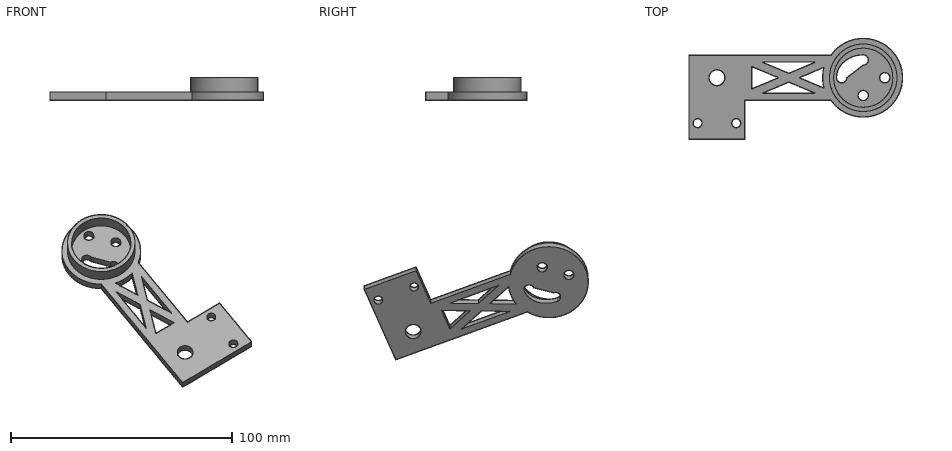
import cadquery as cq

LENGTH = 96.45
DEPTH = 45.6
HEIGHT = 10.4
THICKNESS = 3.9

DISC_DIAMETER = 35.6
DISC_RADIUS = DISC_DIAMETER / 2
RING_OUTER_DIAMETER = 30.5
RING_INNER_DIAMETER = 26.7

ARM_WIDTH = 20.35
PAD_WIDTH = 25.3
PAD_LEFT = DISC_RADIUS - LENGTH
PAD_RIGHT = PAD_LEFT + PAD_WIDTH
PAD_CENTER = (PAD_LEFT + PAD_RIGHT) / 2
PAD_BOTTOM = DISC_RADIUS - DEPTH

PIVOT_DIAMETER = 7.0
MOUNT_DIAMETER = 4.0
MOUNT_SPACING = 17.5
MOUNT_EDGE_DISTANCE = 7.3

DISC_HOLE_DIAMETER = 4.5
DISC_HOLE_X = 9.7
DISC_HOLE_Y = 8.0

WINDOW_MARGIN = 3.2
WINDOW_HALF_HEIGHT = ARM_WIDTH / 2 - WINDOW_MARGIN
WINDOW_LEFT = PAD_RIGHT + WINDOW_MARGIN
BRACE_CENTER = -33.6
BRACE_HALF_RISE = 2.0
WINDOW_END_DIAMETER = 36.7


def cylinder(diameter, height, x=0, y=0):
    return cq.Workplane("XY").center(x, y).circle(diameter / 2).extrude(height)


def plate():
    arm_length = -PAD_LEFT
    arm = cq.Workplane("XY").box(arm_length, ARM_WIDTH, THICKNESS, centered=(False, True, False))
    arm = arm.translate((PAD_LEFT, 0, 0))
    pad = cq.Workplane("XY").box(PAD_WIDTH, -PAD_BOTTOM, THICKNESS, centered=False)
    pad = pad.translate((PAD_LEFT, PAD_BOTTOM, 0))
    return arm.union(pad).union(cylinder(DISC_DIAMETER, THICKNESS))


def triangle(points):
    return cq.Workplane("XY").polyline(points).close().extrude(THICKNESS)


def brace_windows():
    """Four triangular openings left between the two crossed bars."""
    slope = WINDOW_HALF_HEIGHT / (BRACE_CENTER - WINDOW_LEFT)
    apex_offset = BRACE_HALF_RISE / slope
    half_base = (WINDOW_HALF_HEIGHT - BRACE_HALF_RISE) / slope
    windows = cq.Workplane("XY")
    for side in (1, -1):
        edge_y = side * WINDOW_HALF_HEIGHT
        windows = windows.add(triangle([
            (BRACE_CENTER - half_base, edge_y),
            (BRACE_CENTER + half_base, edge_y),
            (BRACE_CENTER, side * BRACE_HALF_RISE),
        ]))
        end_x = BRACE_CENTER + side * (BRACE_CENTER - WINDOW_LEFT)
        end_y = WINDOW_HALF_HEIGHT - BRACE_HALF_RISE
        opening = triangle([
            (BRACE_CENTER + side * apex_offset, 0),
            (end_x, end_y),
            (end_x, -end_y),
        ])
        windows = windows.add(opening.cut(cylinder(WINDOW_END_DIAMETER, THICKNESS)))
    return windows.combine()


def curved_slot():
    """Slot with round ends, an elliptical outer side and a straight inner side."""
    end_radius = DISC_HOLE_DIAMETER / 2
    outer_x = DISC_HOLE_X + end_radius
    outer_y = DISC_HOLE_Y + end_radius
    return (
        cq.Workplane("XY")
        .moveTo(0, outer_y)
        .ellipseArc(outer_x, outer_y, 90, 180, startAtCurrent=True)
        .threePointArc((-DISC_HOLE_X, -end_radius), (-DISC_HOLE_X + end_radius, 0))
        .lineTo(0, DISC_HOLE_Y - end_radius)
        .threePointArc((end_radius, DISC_HOLE_Y), (0, outer_y))
        .close()
        .extrude(THICKNESS)
    )


def holes():
    mount_y = PAD_BOTTOM + MOUNT_EDGE_DISTANCE
    drilled = cylinder(PIVOT_DIAMETER, THICKNESS, PAD_CENTER)
    for side in (-1, 1):
        mount_x = PAD_CENTER + side * MOUNT_SPACING / 2
        drilled = drilled.add(cylinder(MOUNT_DIAMETER, THICKNESS, mount_x, mount_y))
    for x, y in ((DISC_HOLE_X, 0), (0, -DISC_HOLE_Y)):
        drilled = drilled.add(cylinder(DISC_HOLE_DIAMETER, THICKNESS, x, y))
    return drilled.combine()


ring = cylinder(RING_OUTER_DIAMETER, HEIGHT).cut(cylinder(RING_INNER_DIAMETER, HEIGHT))
result = plate().union(ring).cut(brace_windows()).cut(curved_slot()).cut(holes())